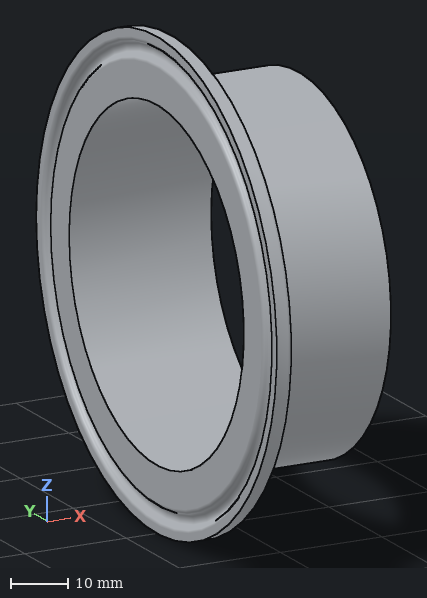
import cadquery as cq
import math

length = 28.0
flange_radius = 91 / 2
tube_radius = 70.0 / 2
bore_radius = 66.0 / 2

cone_angle = math.radians(20)
rim_width = 2.4
rim_blend = 0.8
neck_blend = 2.0

groove_outer_radius = 43.9
groove_wall_angle = math.radians(70)
groove_half_width = 4.1 / 2
groove_radius = groove_outer_radius - groove_half_width
lip_width = 0.8


def arc_point(center, radius, angle):
    """Point on an arc as (X, distance from axis), with the angle from +X."""
    return (
        center[0] + radius * math.cos(angle),
        center[1] + radius * math.sin(angle),
    )


def ferrule_body():
    """Flange, cone, tube and bore as one revolved profile."""
    blend_turn = math.pi / 2 - cone_angle
    blend_tangent = math.tan(blend_turn / 2)
    cone_start_x = rim_width + rim_blend * blend_tangent
    cone_end_x = cone_start_x + (flange_radius - tube_radius) * math.tan(cone_angle)
    neck_end_x = cone_end_x + neck_blend * blend_tangent
    rim_center = (rim_width, flange_radius - rim_blend)
    neck_center = (neck_end_x, tube_radius + neck_blend)
    middle_angle = (math.pi / 2 + cone_angle) / 2

    profile = (
        cq.Workplane("XY")
        .moveTo(0, bore_radius)
        .lineTo(0, flange_radius)
        .lineTo(rim_width, flange_radius)
        .threePointArc(
            arc_point(rim_center, rim_blend, middle_angle),
            arc_point(rim_center, rim_blend, cone_angle),
        )
        .lineTo(*arc_point(neck_center, neck_blend, math.pi + cone_angle))
        .threePointArc(
            arc_point(neck_center, neck_blend, math.pi + middle_angle),
            (neck_end_x, tube_radius),
        )
        .lineTo(length, tube_radius)
        .lineTo(length, bore_radius)
        .close()
    )
    return profile.revolve(360, (0, 0, 0), (1, 0, 0))


def gasket_groove():
    """Ring-shaped cutter for the groove in the sealing face."""
    bottom_half_width = groove_half_width - lip_width
    lip_blend = lip_width / math.sin(groove_wall_angle)
    bottom_blend = bottom_half_width / math.sin(groove_wall_angle)
    depth = (lip_blend + bottom_blend) * (1 - math.cos(groove_wall_angle))
    inner_edge = groove_radius - groove_half_width
    outer_edge = groove_radius + groove_half_width
    inner_center = (lip_blend, inner_edge)
    outer_center = (lip_blend, outer_edge)
    lip_end = math.pi - groove_wall_angle
    lip_middle = math.pi - groove_wall_angle / 2

    profile = (
        cq.Workplane("XY")
        .moveTo(0, inner_edge)
        .threePointArc(
            arc_point(inner_center, lip_blend, lip_middle),
            arc_point(inner_center, lip_blend, lip_end),
        )
        .threePointArc((depth, groove_radius), arc_point(outer_center, lip_blend, -lip_end))
        .threePointArc(arc_point(outer_center, lip_blend, -lip_middle), (0, outer_edge))
        .close()
    )
    return profile.revolve(360, (0, 0, 0), (1, 0, 0))


result = ferrule_body().cut(gasket_groove())